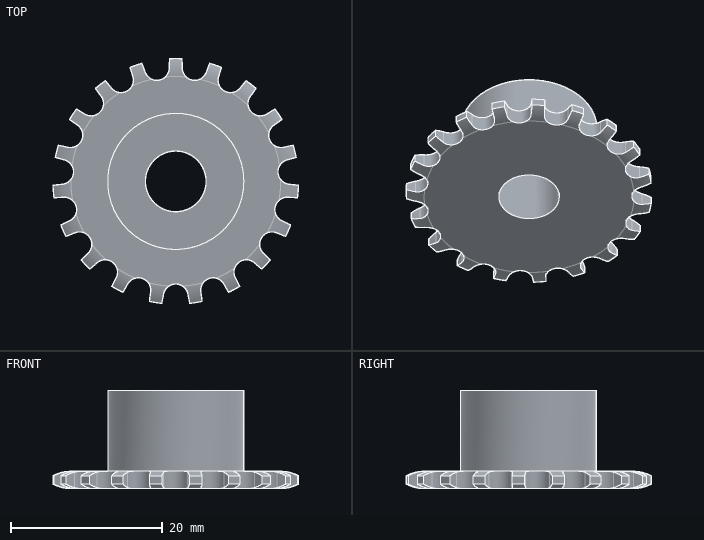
import cadquery as cq
import math

overall_length = 32.48
overall_height = 13.0
plate_thickness = 2.3
hub_diameter = 18.0
bore_diameter = 8.0

tooth_count = 19
root_radius = 13.58
seat_radius = 1.62
seat_half_angle = 80.0
tip_half_angle = 2.95
flat_face_radius = 13.87
side_curve_radius = 5.0

tooth_pitch = 360.0 / tooth_count
seat_center_radius = root_radius + seat_radius

reach_angle = tooth_pitch / 4 - tip_half_angle
outer_radius = overall_length / 2 / math.cos(math.radians(reach_angle))


def make_tooth_plate():
    """Disc whose rim curves inwards on both sides, revolved from its radial section."""
    drop = side_curve_radius - math.sqrt(side_curve_radius**2 - (outer_radius - flat_face_radius) ** 2)
    return (
        cq.Workplane("XZ")
        .lineTo(flat_face_radius, 0)
        .tangentArcPoint((outer_radius, drop), relative=False)
        .lineTo(outer_radius, plate_thickness - drop)
        .radiusArc((flat_face_radius, plate_thickness), -side_curve_radius)
        .lineTo(0, plate_thickness)
        .close()
        .revolve(360, (0, 0, 0), (0, 1, 0))
    )


def seat_point(angle):
    """Point on the seat arc of the gap on +Y, at an angle from the gap bottom."""
    turn = math.radians(angle)
    return seat_radius * math.sin(turn), seat_center_radius - seat_radius * math.cos(turn)


def make_gap():
    """Cutter for one tooth gap centred on +Y: round seat, then flanks tangent to it."""
    corner_angle = math.radians(tooth_pitch / 2 - tip_half_angle)
    corner_x = outer_radius * math.sin(corner_angle)
    corner_y = outer_radius * math.cos(corner_angle)
    clear_y = outer_radius + seat_radius
    half_gap = (
        cq.Workplane("XY")
        .moveTo(*seat_point(0))
        .threePointArc(seat_point(seat_half_angle / 2), seat_point(seat_half_angle))
        .tangentArcPoint((corner_x, corner_y), relative=False)
        .lineTo(clear_y * math.tan(corner_angle), clear_y)
        .lineTo(0, clear_y)
        .close()
        .extrude(plate_thickness)
    )
    return half_gap.union(half_gap.mirror("YZ"))


sprocket = make_tooth_plate()

gap = make_gap()
for index in range(tooth_count):
    gap_angle = (index + 0.5) * tooth_pitch
    sprocket = sprocket.cut(gap.rotate((0, 0, 0), (0, 0, 1), gap_angle))

hub = cq.Workplane("XY").circle(hub_diameter / 2).extrude(overall_height)
bore = cq.Workplane("XY").circle(bore_diameter / 2).extrude(overall_height)

result = sprocket.union(hub).cut(bore)